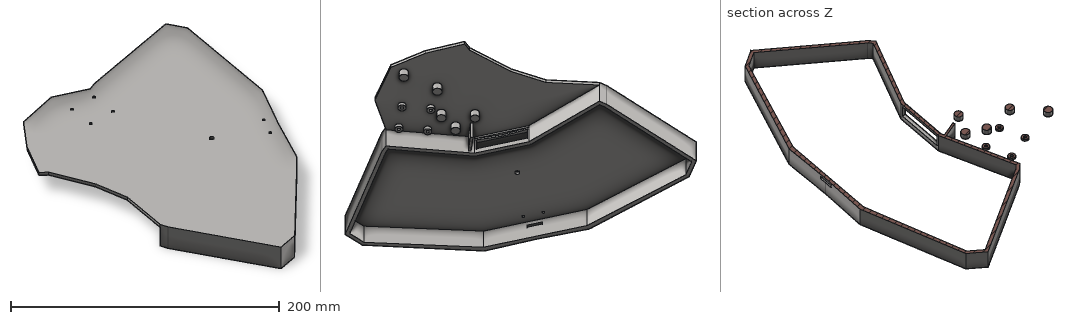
import cadquery as cq
import math

height = 21.0
deck_thickness = 3.0
wall = 3.0
deck_underside = height - deck_thickness

tip_x, tip_y = 135.88, 9.2
shoulder_x, shoulder_y = 126.4, 23.0
rear_x, rear_y = 40.6, 53.32
rear_middle_y = 52.4
side_x, side_y = 87.0, -63.4
front_x, front_y = 82.5, -67.9
middle_wall_x = 21.0
front_wall_angle = 22.0
front_wall_slope = math.tan(math.radians(front_wall_angle))
middle_wall_y = front_y + (front_x - middle_wall_x) * front_wall_slope

overall_depth = 187.92
deck_bottom_y = rear_y - overall_depth
deck_front_points = [
    (45.0, -81.2),
    (23.0, -98.8),
    (-0.9, -127.6),
    (-2.8, deck_bottom_y),
    (-33.5, deck_bottom_y + 0.9),
    (-62.0, -127.0),
    (-front_x, -98.5),
]

centre_hole_diameter = 3.5
rear_hole_diameter = 1.86
rear_hole_x, rear_hole_y = 7.8, 43.4

short_boss_diameter = 6.0
short_boss_hole_diameter = 2.1
short_boss_length = 3.0
short_boss_pitch = 21.6
short_boss_turn = 22.0
short_boss_centre = (-58.4, -74.2)

long_boss_diameter = 7.0
end_boss_diameter = 6.85
long_boss_length = 6.0
long_boss_points = [(-54.1, -119.6), (-38.2, -73.1), (-33.9, -99.4), (-31.4, -58.0)]
end_boss_point = (-14.2, -66.0)

opening_half_width = 19.8
opening_bottom, opening_top = 4.5, 14.5
groove_top = 16.1
groove_depth = 1.8

slot_width = 12.0
slot_bottom = 12.2
slot_centre_x = -0.6

tab_x = -25.3
tab_length = 13.8
tab_thickness = 2.0
tab_bottom = 2.0
tab_hole_diameter = 3.0
tab_hole_z = 5.1


def mirrored(points):
    """The same points on the -X side, in reverse order."""
    return [(-x, y) for x, y in reversed(points)]


def prism(points, bottom, top):
    return cq.Workplane("XY").workplane(offset=bottom).polyline(points).close().extrude(top - bottom)


def hanging_bosses(points, diameter, length):
    """Round standoffs below the deck, rooted a little way into it."""
    root = deck_thickness / 2
    start = cq.Workplane("XY").workplane(offset=deck_underside - length)
    return start.pushPoints(points).circle(diameter / 2).extrude(length + root)


right_side = [(rear_x, rear_y), (shoulder_x, shoulder_y), (tip_x, tip_y), (side_x, side_y), (front_x, front_y)]
left_side = mirrored(right_side)
middle_wall = [(middle_wall_x, middle_wall_y), (-middle_wall_x, middle_wall_y)]


def make_deck():
    points = right_side + deck_front_points + left_side + [(0, rear_middle_y)]
    return prism(points, deck_underside, height)


def make_walls():
    """Skirt below the deck, open at the bottom, with a straight rear inner face."""
    outer = prism(right_side + middle_wall + left_side + [(0, rear_middle_y)], 0, height)
    straight_rear = [(x, min(y, rear_middle_y)) for x, y in right_side]
    cavity_outline = straight_rear + middle_wall + mirrored(straight_rear)
    cavity = cq.Workplane("XY").polyline(cavity_outline).close().offset2D(-wall, "intersection")
    return outer.cut(cavity.extrude(deck_underside))


def make_opening():
    opening = prism(
        [
            (-opening_half_width, middle_wall_y - wall),
            (opening_half_width, middle_wall_y - wall),
            (opening_half_width, middle_wall_y + 2 * wall),
            (-opening_half_width, middle_wall_y + 2 * wall),
        ],
        opening_bottom,
        opening_top,
    )
    groove = prism(middle_wall + [(0, middle_wall_y + groove_depth)], opening_top, groove_top)
    return opening.union(groove)


def make_slot():
    slot_height = opening_top - slot_bottom
    slot = cq.Workplane("XY").box(slot_width, 4 * wall, slot_height, centered=(True, True, False))
    return slot.translate((slot_centre_x, rear_middle_y, slot_bottom))


def make_tab():
    """Built along -Y with its left face on X = 0, then turned square to the left front wall."""
    root = wall / 2
    tab_height = height - deck_thickness / 2 - tab_bottom
    tab = cq.Workplane("XY").box(tab_thickness, tab_length + root, tab_height, centered=False)
    tab = tab.translate((0, -tab_length, tab_bottom))
    hole = (
        cq.Workplane("YZ")
        .center(-tab_length / 2, tab_hole_z)
        .circle(tab_hole_diameter / 2)
        .extrude(tab_thickness)
    )
    wall_y = front_y + (tab_x + front_x) * front_wall_slope
    return tab.cut(hole).rotate((0, 0, 0), (0, 0, 1), front_wall_angle).translate((tab_x, wall_y, 0))


def short_boss_points():
    radius = short_boss_pitch / math.sqrt(2)
    points = []
    for corner in range(4):
        angle = math.radians(short_boss_turn + 45 + 90 * corner)
        x = short_boss_centre[0] + radius * math.cos(angle)
        y = short_boss_centre[1] + radius * math.sin(angle)
        points.append((x, y))
    return points


def through_holes(points, diameter):
    return cq.Workplane("XY").pushPoints(points).circle(diameter / 2).extrude(height)


result = make_walls().cut(make_opening()).cut(make_slot())
result = result.union(make_deck()).union(make_tab())
result = result.union(hanging_bosses(short_boss_points(), short_boss_diameter, short_boss_length))
result = result.union(hanging_bosses(long_boss_points, long_boss_diameter, long_boss_length))
result = result.union(hanging_bosses([end_boss_point], end_boss_diameter, long_boss_length))
result = result.cut(through_holes([(0, 0)], centre_hole_diameter))
rear_hole_points = [(-rear_hole_x, rear_hole_y), (rear_hole_x, rear_hole_y)]
result = result.cut(through_holes(rear_hole_points, rear_hole_diameter))
result = result.cut(through_holes(short_boss_points(), short_boss_hole_diameter))